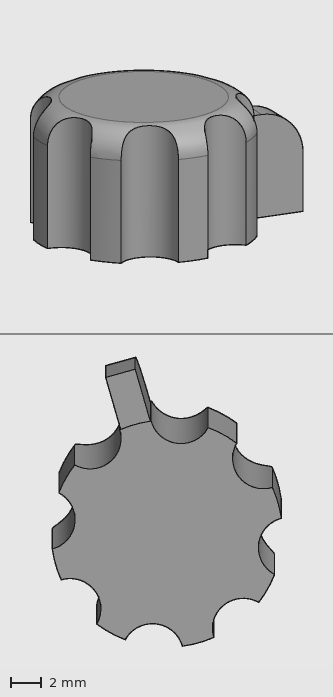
import cadquery as cq

knob_radius = 7.5
knob_height = 9.0
top_rounding = 2.0

grip_count = 8
grip_radius = 2.0
grip_circle_radius = 8.0
grip_spacing = 360 / grip_count

pointer_width = 2.0
pointer_tip = 11.0
pointer_height = knob_height - top_rounding
pointer_nose_radius = 3.0


def make_disc():
    """Plain round disc with the full outer diameter of the knob."""
    return cq.Workplane("XY").circle(knob_radius).extrude(knob_height)


def make_knob():
    """Disc with a rounded top edge and upright finger grips around the rim."""
    grips = (
        cq.Workplane("XY")
        .polarArray(grip_circle_radius, grip_spacing / 2, 360, grip_count)
        .circle(grip_radius)
        .extrude(knob_height)
    )
    rounded_disc = make_disc().faces(">Z").edges().fillet(top_rounding)
    return rounded_disc.cut(grips).solids()


def make_pointer():
    """Upright blade with a rounded nose, seated against the +Y lobe of the knob."""
    blade = (
        cq.Workplane("XY")
        .box(pointer_width, pointer_tip, pointer_height, centered=(True, False, False))
        .edges(">Y and >Z")
        .fillet(pointer_nose_radius)
    )
    return blade.cut(make_disc()).solids()


knob = make_knob()
pointer = make_pointer()
result = cq.Compound.makeCompound([knob.val(), pointer.val()])